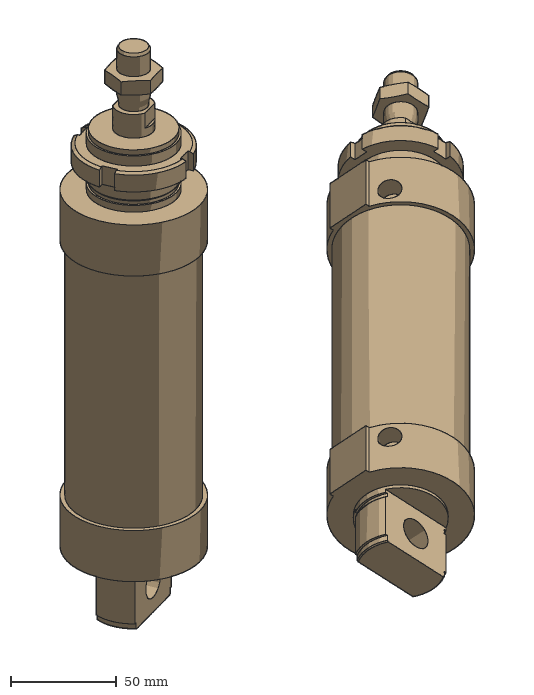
import cadquery as cq
import math


TOTAL_HEIGHT = 304.2
TUBE_DIAMETER = 65.5
CAP_DIAMETER = 70.0
CAP_HEIGHT = 27.7
REAR_CAP_BOTTOM = 33.5
FRONT_CAP_TOP = 226.5
BOSS_WIDTH = 24.3

SPIGOT_DIAMETER = 45.0
NECK_DIAMETER = 43.0
COLLAR_HEIGHT = 3.5
GROOVE_HEIGHT = 1.8
NOSE_HEIGHT = 33.2
NOSE_TIP_HEIGHT = 2.7

LUG_THICKNESS = 20.5
LUG_TIP_HEIGHT = 3.5
LUG_TIP_CHAMFER = 0.5
LUG_SHOULDER_HEIGHT = 1.8
PIVOT_DIAMETER = 16.0
PIVOT_Z = 16.0

RECESS_DIAMETER = 11.5
RECESS_DEPTH = 10.5
RECESS_ANGLE = 127.0
RECESS_EDGE_DISTANCE = 8.2

ROD_DIAMETER = 20.0
ROD_SHOULDER_Z = 272.5
FLAT_WIDTH = 17.0
FLAT_LENGTH = 8.2
THREAD_DIAMETER = 16.0
UNDERCUT_DIAMETER = 14.3
THREAD_TIP_CHAMFER = 1.5
THREAD_BOTTOM_Z = 278.0
THREAD_RUNOUT = 2.7
RUNOUT_FOOT_DIAMETER = 14.5
RUNOUT_FOOT_LENGTH = 1.0

ROD_NUT_ACROSS_FLATS = 24.0
ROD_NUT_HEIGHT = 8.0
ROD_NUT_BOTTOM = 284.0
ROD_NUT_FACE_DIAMETER = 23.5
ROD_NUT_CHAMFER_ANGLE = 10.0

RING_DIAMETER = 59.3
RING_HEIGHT = 10.0
RING_BOTTOM = 241.5
RING_CHAMFER_WIDTH = 1.8
RING_CHAMFER_HEIGHT = 1.0
SLOT_COUNT = 4
SLOT_WIDTH = 8.0
SLOT_FLOOR_RADIUS = 26.5

REAR_CAP_TOP = REAR_CAP_BOTTOM + CAP_HEIGHT
FRONT_CAP_BOTTOM = FRONT_CAP_TOP - CAP_HEIGHT
ROD_BOTTOM = FRONT_CAP_BOTTOM


def cylinder(diameter, bottom, height):
    """Upright cylinder on the Z axis."""
    return cq.Workplane("XY").workplane(offset=bottom).circle(diameter / 2).extrude(height)


def cap(bottom):
    """Round end cap with a flat-topped boss on the +Y side."""
    boss = (
        cq.Workplane("XY").workplane(offset=bottom)
        .center(0, CAP_DIAMETER / 4).rect(BOSS_WIDTH, CAP_DIAMETER / 2).extrude(CAP_HEIGHT)
    )
    return cylinder(CAP_DIAMETER, bottom, CAP_HEIGHT).union(boss)


def spigot(length, tip_height):
    """Turned spigot rising from Z = 0: collar, sloped groove, body and stepped tip."""
    outer = SPIGOT_DIAMETER / 2
    inner = NECK_DIAMETER / 2
    groove_top = COLLAR_HEIGHT + GROOVE_HEIGHT
    profile = [
        (0, 0),
        (outer, 0),
        (outer, COLLAR_HEIGHT),
        (inner, COLLAR_HEIGHT),
        (inner, groove_top),
        (outer, groove_top + outer - inner),
        (outer, length - tip_height),
        (inner, length - tip_height),
        (inner, length),
        (0, length),
    ]
    return cq.Workplane("XZ").polyline(profile).close().revolve(360, (0, 0), (0, 1))


def rear_lug():
    """Spigot hanging below the rear cap, cut to a flat lug with a pivot hole along X."""
    flat_top = REAR_CAP_BOTTOM - LUG_SHOULDER_HEIGHT
    turned = spigot(REAR_CAP_BOTTOM, LUG_TIP_HEIGHT).faces(">Z").chamfer(LUG_TIP_CHAMFER)
    turned = turned.rotate((0, 0, 0), (1, 0, 0), 180)
    turned = turned.translate((0, 0, REAR_CAP_BOTTOM))
    shoulder = cylinder(SPIGOT_DIAMETER, flat_top, LUG_SHOULDER_HEIGHT)
    blade = cq.Workplane("XY").rect(LUG_THICKNESS, SPIGOT_DIAMETER).extrude(flat_top)
    pivot = cq.Workplane("YZ").center(0, PIVOT_Z).circle(PIVOT_DIAMETER / 2)
    pivot = pivot.extrude(LUG_THICKNESS, both=True)
    return turned.intersect(blade.union(shoulder)).cut(pivot)


def screw_recess(z):
    """Blind round recess running radially into a cap."""
    angle = math.radians(RECESS_ANGLE)
    outward = cq.Vector(math.cos(angle), math.sin(angle), 0)
    floor = outward * (CAP_DIAMETER / 2 - RECESS_DEPTH) + cq.Vector(0, 0, z)
    return cq.Solid.makeCylinder(RECESS_DIAMETER / 2, 2 * RECESS_DEPTH, floor, outward)


def make_housing():
    """Tube, caps, front nose and rear lug, with a blind bore for the rod."""
    tube = cylinder(TUBE_DIAMETER, REAR_CAP_TOP, FRONT_CAP_BOTTOM - REAR_CAP_TOP)
    nose = spigot(NOSE_HEIGHT, NOSE_TIP_HEIGHT).translate((0, 0, FRONT_CAP_TOP))
    body = tube.union(cap(REAR_CAP_BOTTOM)).union(cap(FRONT_CAP_BOTTOM))
    body = body.union(nose).union(rear_lug())
    for z in (REAR_CAP_TOP - RECESS_EDGE_DISTANCE, FRONT_CAP_BOTTOM + RECESS_EDGE_DISTANCE):
        body = body.cut(cq.Workplane(obj=screw_recess(z)))
    return body.cut(cylinder(ROD_DIAMETER, ROD_BOTTOM, TOTAL_HEIGHT - ROD_BOTTOM))


def make_rod():
    """Piston rod with two wrench flats, an undercut, a tapered runout and a chamfered thread."""
    shank = cylinder(ROD_DIAMETER, ROD_BOTTOM, ROD_SHOULDER_Z - ROD_BOTTOM)
    flats = (
        cq.Workplane("XY").workplane(offset=ROD_SHOULDER_Z - FLAT_LENGTH)
        .rect(2 * ROD_DIAMETER, 2 * ROD_DIAMETER).rect(FLAT_WIDTH, 2 * ROD_DIAMETER)
        .extrude(FLAT_LENGTH)
    )
    core = UNDERCUT_DIAMETER / 2
    foot = RUNOUT_FOOT_DIAMETER / 2
    foot_top = THREAD_BOTTOM_Z - THREAD_RUNOUT
    crest = THREAD_DIAMETER / 2
    profile = [
        (0, ROD_SHOULDER_Z),
        (core, ROD_SHOULDER_Z),
        (core, foot_top - RUNOUT_FOOT_LENGTH),
        (foot, foot_top),
        (crest, THREAD_BOTTOM_Z),
        (crest, TOTAL_HEIGHT - THREAD_TIP_CHAMFER),
        (core, TOTAL_HEIGHT),
        (0, TOTAL_HEIGHT),
    ]
    thread = cq.Workplane("XZ").polyline(profile).close().revolve(360, (0, 0), (0, 1))
    return shank.cut(flats).union(thread)


def make_rod_nut():
    """Hexagonal nut with corners toward +Y and -Y, its corners beveled at both ends."""
    across_corners = ROD_NUT_ACROSS_FLATS / math.cos(math.pi / 6)
    bevel_width = (across_corners - ROD_NUT_FACE_DIAMETER) / 2
    bevel_height = bevel_width * math.tan(math.radians(ROD_NUT_CHAMFER_ANGLE))
    envelope = cylinder(across_corners, ROD_NUT_BOTTOM, ROD_NUT_HEIGHT)
    envelope = envelope.faces("<Z or >Z").chamfer(bevel_height, bevel_width)
    hexagon = (
        cq.Workplane("XY").workplane(offset=ROD_NUT_BOTTOM)
        .transformed(rotate=(0, 0, 90)).polygon(6, across_corners)
        .circle(THREAD_DIAMETER / 2).extrude(ROD_NUT_HEIGHT)
    )
    return hexagon.intersect(envelope)


def make_mounting_nut():
    """Ring nut with a chamfered top edge and evenly spaced wrench slots."""
    ring = cylinder(RING_DIAMETER, RING_BOTTOM, RING_HEIGHT)
    ring = ring.faces(">Z").edges().chamfer(RING_CHAMFER_HEIGHT, RING_CHAMFER_WIDTH)
    ring = ring.cut(cylinder(SPIGOT_DIAMETER, RING_BOTTOM, RING_HEIGHT))
    slot = (
        cq.Workplane("XY").workplane(offset=RING_BOTTOM)
        .center(SLOT_FLOOR_RADIUS + RING_DIAMETER / 4, 0)
        .rect(RING_DIAMETER / 2, SLOT_WIDTH).extrude(RING_HEIGHT)
    )
    for i in range(SLOT_COUNT):
        ring = ring.cut(slot.rotate((0, 0, 0), (0, 0, 1), i * 360 / SLOT_COUNT))
    return ring


housing = make_housing()
rod = make_rod()
rod_nut = make_rod_nut()
mounting_nut = make_mounting_nut()

result = cq.Compound.makeCompound([housing.val(), rod.val(), rod_nut.val(), mounting_nut.val()])